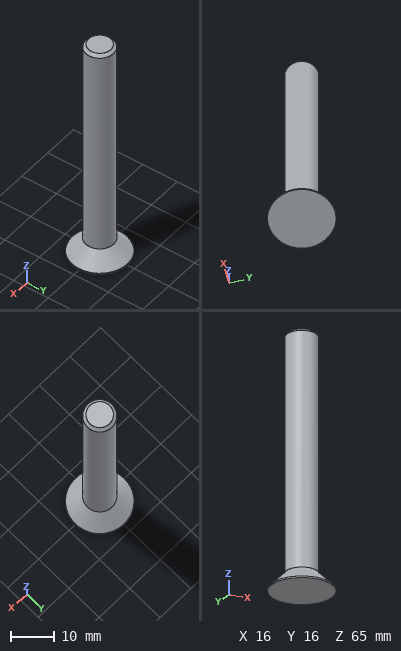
import cadquery as cq

total_length = 65.0
shank_diameter = 8.0
head_diameter = 16.0
tip_diameter = 6.4
rim_height = 0.4

shank_radius = shank_diameter / 2
head_radius = head_diameter / 2
tip_radius = tip_diameter / 2
tip_chamfer = shank_radius - tip_radius
cone_height = head_radius - shank_radius
head_height = rim_height + cone_height

half_profile = (
    cq.Workplane("XZ")
    .moveTo(0, 0)
    .lineTo(head_radius, 0)
    .lineTo(head_radius, rim_height)
    .lineTo(shank_radius, head_height)
    .lineTo(shank_radius, total_length - tip_chamfer)
    .lineTo(tip_radius, total_length)
    .lineTo(0, total_length)
    .close()
)

result = half_profile.revolve(360, (0, 0, 0), (0, 1, 0))